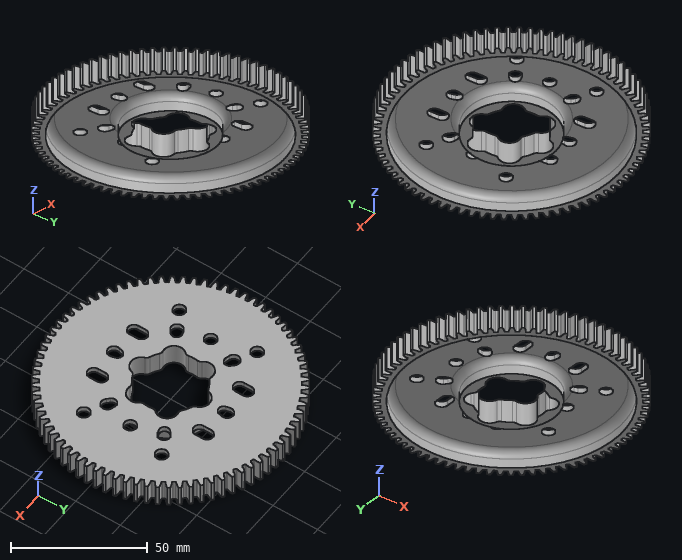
import cadquery as cq
import math

TOOTH_COUNT = 78
OUTER_DIAMETER = 101.6
THICKNESS = 9.5
PRESSURE_ANGLE = math.radians(14.5)
DEDENDUM_FACTOR = 1.25
BACKLASH = 0.1
ROOT_FILLET = 0.36
FLANK_STEPS = 4

MODULE = OUTER_DIAMETER / (TOOTH_COUNT + 2)
OUTER_RADIUS = OUTER_DIAMETER / 2
PITCH_RADIUS = MODULE * TOOTH_COUNT / 2
TOOTH_PITCH = 2 * math.pi / TOOTH_COUNT
BASE_RADIUS = PITCH_RADIUS * math.cos(PRESSURE_ANGLE)
ROOT_RADIUS = max(BASE_RADIUS, PITCH_RADIUS - DEDENDUM_FACTOR * MODULE)

WEB_THICKNESS = 2.4
HUB_RADIUS = 19.1
RIM_INNER_RADIUS = 45.7
POCKET_FILLET = 3.1

LOBE_COUNT = 6
BORE_RADIUS = 14.2
LOBE_CENTER_RADIUS = 13.1
LOBE_RADIUS = 4.4
LOBE_BLEND_RADIUS = 2.0
CORNER_TOLERANCE = 0.01

BOLT_DIAMETER = 5.1
SMALL_BOLT_DIAMETER = 4.3
OUTER_BOLT_CIRCLE_RADIUS = 34.8
MAIN_BOLT_CIRCLE_RADIUS = 25.4
SMALL_BOLT_CIRCLE_RADIUS = 23.8
SLOT_OUTER_Y = 25.4
DIAGONAL_ANGLES = (30, 150, 210, 330)
VERTICAL_ANGLES = (90, 270)
HORIZONTAL_ANGLES = (0, 180)


def polar(radius, angle):
    return (radius * math.cos(angle), radius * math.sin(angle))


def involute(angle):
    return math.tan(angle) - angle


def half_tooth_angle(radius):
    """Half of the angle that a tooth spans at a radius on its involute flanks."""
    flank_angle = math.acos(BASE_RADIUS / radius)
    half_at_pitch = TOOTH_PITCH / 4 - BACKLASH / (2 * PITCH_RADIUS)
    return half_at_pitch + involute(PRESSURE_ANGLE) - involute(flank_angle)


def gear_blank():
    """Toothed disc with one tooth centred on +Y and filleted tooth roots."""
    step = (OUTER_RADIUS - ROOT_RADIUS) / FLANK_STEPS
    flank_radii = [ROOT_RADIUS + step * i for i in range(FLANK_STEPS + 1)]
    root_half = half_tooth_angle(ROOT_RADIUS)

    outline = cq.Workplane("XY").moveTo(*polar(ROOT_RADIUS, math.pi / 2 - root_half))
    for tooth in range(TOOTH_COUNT):
        center = math.pi / 2 + tooth * TOOTH_PITCH
        rising = [polar(r, center - half_tooth_angle(r)) for r in flank_radii]
        falling = [polar(r, center + half_tooth_angle(r)) for r in reversed(flank_radii)]
        gap_middle = polar(ROOT_RADIUS, center + TOOTH_PITCH / 2)
        next_root = polar(ROOT_RADIUS, center + TOOTH_PITCH - root_half)
        outline = (
            outline.spline(rising[1:], includeCurrent=True)
            .threePointArc(polar(OUTER_RADIUS, center), falling[0])
            .spline(falling[1:], includeCurrent=True)
            .threePointArc(gap_middle, next_root)
        )
    blank = outline.close().extrude(THICKNESS)

    between_root_and_tip = (ROOT_RADIUS + OUTER_RADIUS) / 2
    inner_edges = [
        edge
        for edge in blank.edges("|Z").vals()
        if math.hypot(edge.Center().x, edge.Center().y) < between_root_and_tip
    ]
    return blank.newObject(inner_edges).fillet(ROOT_FILLET)


def bore():
    """Round bore with evenly spaced round lobes, the first on +Y, blended into the bore wall."""
    lobes = (
        cq.Workplane("XY")
        .polarArray(LOBE_CENTER_RADIUS, 90, 360, LOBE_COUNT)
        .circle(LOBE_RADIUS)
        .extrude(THICKNESS)
    )
    sharp_bore = cq.Workplane("XY").circle(BORE_RADIUS).extrude(THICKNESS).union(lobes)
    lobe_corners = [
        edge
        for edge in sharp_bore.edges("|Z").vals()
        if math.hypot(edge.Center().x, edge.Center().y) < BORE_RADIUS + CORNER_TOLERANCE
    ]
    return sharp_bore.newObject(lobe_corners).fillet(LOBE_BLEND_RADIUS)


def pocket():
    """Ring-shaped recess in the bottom face, between the hub and the rim, with a rounded floor."""
    depth = THICKNESS - WEB_THICKNESS
    return (
        cq.Workplane("XY")
        .circle(RIM_INNER_RADIUS)
        .circle(HUB_RADIUS)
        .extrude(depth)
        .faces(">Z")
        .edges()
        .fillet(POCKET_FILLET)
    )


def hole_ring(radius, angles):
    """Through holes at the given angles in degrees on a bolt circle."""
    centers = [polar(radius, math.radians(angle)) for angle in angles]
    return cq.Workplane("XY").pushPoints(centers).circle(BOLT_DIAMETER / 2).extrude(THICKNESS)


def keyhole(angle):
    """Bolt hole and smaller inner hole on one radial line, joined by their common tangents."""
    spacing = MAIN_BOLT_CIRCLE_RADIUS - SMALL_BOLT_CIRCLE_RADIUS
    small_radius = SMALL_BOLT_DIAMETER / 2
    bolt_radius = BOLT_DIAMETER / 2
    tangent_angle = math.acos((small_radius - bolt_radius) / spacing)
    tangent_x, tangent_y = polar(1, tangent_angle)
    small_x = SMALL_BOLT_CIRCLE_RADIUS + small_radius * tangent_x
    bolt_x = MAIN_BOLT_CIRCLE_RADIUS + bolt_radius * tangent_x
    return (
        cq.Workplane("XY")
        .moveTo(small_x, -small_radius * tangent_y)
        .lineTo(bolt_x, -bolt_radius * tangent_y)
        .threePointArc(
            (MAIN_BOLT_CIRCLE_RADIUS + bolt_radius, 0),
            (bolt_x, bolt_radius * tangent_y),
        )
        .lineTo(small_x, small_radius * tangent_y)
        .threePointArc(
            (SMALL_BOLT_CIRCLE_RADIUS - small_radius, 0),
            (small_x, -small_radius * tangent_y),
        )
        .close()
        .extrude(THICKNESS)
        .rotate((0, 0, 0), (0, 0, 1), angle)
    )


def slots():
    """Four slots along Y, reaching outward from the main bolt circle."""
    inner_x, inner_y = polar(MAIN_BOLT_CIRCLE_RADIUS, math.radians(60))
    middle_y = (inner_y + SLOT_OUTER_Y) / 2
    length = SLOT_OUTER_Y - inner_y + BOLT_DIAMETER
    return (
        cq.Workplane("XY")
        .rect(2 * inner_x, 2 * middle_y, forConstruction=True)
        .vertices()
        .slot2D(length, BOLT_DIAMETER, 90)
        .extrude(THICKNESS)
    )


result = (
    gear_blank()
    .cut(pocket())
    .cut(bore())
    .cut(hole_ring(OUTER_BOLT_CIRCLE_RADIUS, DIAGONAL_ANGLES))
    .cut(hole_ring(MAIN_BOLT_CIRCLE_RADIUS, HORIZONTAL_ANGLES))
    .cut(slots())
)
for keyhole_angle in DIAGONAL_ANGLES + VERTICAL_ANGLES:
    result = result.cut(keyhole(keyhole_angle))